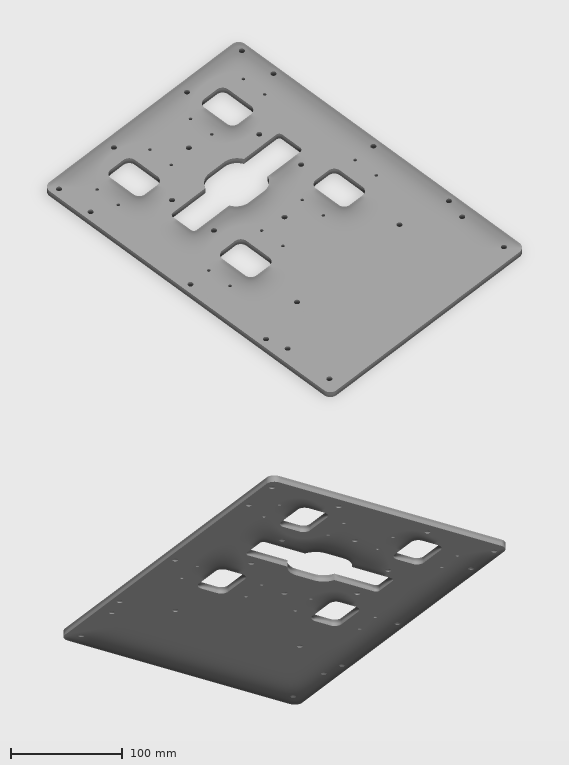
import cadquery as cq

length = 360.0
width = 250.0
thickness = 6.5
corner_radius = 8.0

opening_x = -60.0
slot_width = 30.0
slot_length = 139.5
slot_corner_radius = 3.5
bulge_width = 50.0
bulge_length = 52.0
bulge_corner_radius = 16.5

window_xs = [-130.0, 10.0]
window_y = 59.8
window_length = 43.0
window_width = 30.5
window_corner_radius = 7.2
small_hole_diameter = 3.2
small_hole_offset_x = 13.5
small_hole_offset_y = 34.0

mount_hole_diameter = 5.5
slot_hole_offset_x = 26.3
slot_hole_y = 55.8
axis_holes = [(-120.0, 0), (0, 0)]
edge_row_y = 117.0
edge_row_xs = [-168.0, -128.5, -3.2, 91.5]
right_pair_y = 111.5
right_pair_xs = [113.5, 165.5]
left_side_hole = (-168.0, 46.8)
inner_hole = (80.0, 65.5)


def rounded_block(size_x, size_y, radius):
    """Block of plate thickness with rounded vertical edges."""
    block = cq.Workplane("XY").box(size_x, size_y, thickness)
    return block.edges("|Z").fillet(radius)


def mirrored_in_y(points):
    """Points together with their mirror images across the X axis."""
    return points + [(x, -y) for x, y in points]


def central_opening():
    """Tool for the opening, as thick as the plate."""
    slot = rounded_block(slot_width, slot_length, slot_corner_radius)
    bulge = rounded_block(bulge_width, bulge_length, bulge_corner_radius)
    return slot.union(bulge).translate((opening_x, 0, 0))


def pins(points, diameter):
    """Cylinders through the plate thickness, used to cut holes."""
    circles = cq.Workplane("XY").pushPoints(points).circle(diameter / 2)
    return circles.extrude(thickness / 2, both=True)


plate = rounded_block(length, width, corner_radius)
plate = plate.cut(central_opening())

window = rounded_block(window_length, window_width, window_corner_radius)
window_centres = mirrored_in_y([(x, window_y) for x in window_xs])
for x, y in window_centres:
    plate = plate.cut(window.translate((x, y, 0)))
    small_holes = [
        (x + side_x * small_hole_offset_x, y + side_y * small_hole_offset_y)
        for side_x in (-1, 1)
        for side_y in (-1, 1)
    ]
    plate = plate.cut(pins(small_holes, small_hole_diameter))

mount_holes = [(x, edge_row_y) for x in edge_row_xs]
mount_holes += [(x, right_pair_y) for x in right_pair_xs]
mount_holes += [(opening_x + side * slot_hole_offset_x, slot_hole_y) for side in (-1, 1)]
mount_holes += [left_side_hole, inner_hole]
plate = plate.cut(pins(mirrored_in_y(mount_holes) + axis_holes, mount_hole_diameter))

result = plate